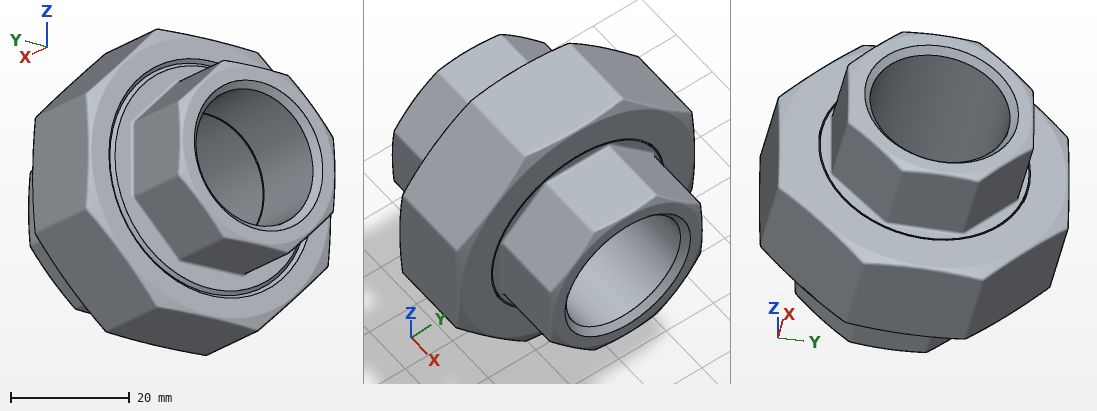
import cadquery as cq
import math

fitting_length = 45.0
nut_width = 17.0
fitting_end = fitting_length / 2
nut_face = nut_width / 2
flange_inner_x = 0.0

octagon_sides = 8
half_side_angle = 180.0 / octagon_sides
nut_across_flats = 50.0
end_across_flats = 32.0
corner_radius = 1.0
bevel_angle = 20.0
bevel_start_inset = 0.42
bevel_edge_radius = 0.5
root_radius = 0.5
root_tolerance = 0.01

bore_diameter = 24.12
bore_mouth_diameter = 26.5
bore_mouth_depth = 1.2

nut_mouth_diameter = 42.0
flange_face_diameter = 39.5
thread_diameter = (nut_mouth_diameter + flange_face_diameter) / 2
thread_chamfer = (nut_mouth_diameter - thread_diameter) / 2

neck_diameter = 36.0
nut_lip_diameter = 36.5
collar_diameter = 39.84
lip_thickness = 4.0
lip_inner_x = nut_face - lip_thickness

nose_diameter = 28.0
nose_tip_x = -7.0
nose_bore_chamfer = 0.3


def cylinder(diameter, x_start, x_end):
    """Round bar along X."""
    return cq.Workplane("YZ", origin=(x_start, 0, 0)).circle(diameter / 2).extrude(x_end - x_start)


def octagon_bar(across_flats, x_start, x_end):
    """Octagonal bar along X, with flats facing Y and Z and rounded long edges."""
    across_corners = across_flats / math.cos(math.radians(half_side_angle))
    bar = (
        cq.Workplane("YZ", origin=(x_start, 0, 0))
        .transformed(rotate=(0, 0, half_side_angle))
        .polygon(octagon_sides, across_corners)
        .extrude(x_end - x_start)
    )
    return bar.edges("|X").fillet(corner_radius)


def bevel_envelope(across_flats, x_end, direction):
    """Bar whose conical end at x_end, facing along direction, trims the octagon corners."""
    start_radius = across_flats / 2 - bevel_start_inset
    outer_radius = across_flats
    cone_depth = (outer_radius - start_radius) * math.tan(math.radians(bevel_angle))
    x_cone_base = x_end - direction * cone_depth
    x_far = x_cone_base - direction * fitting_length
    return (
        cq.Workplane("XY")
        .moveTo(x_far, 0)
        .lineTo(x_end, 0)
        .lineTo(x_end, start_radius)
        .lineTo(x_cone_base, outer_radius)
        .lineTo(x_far, outer_radius)
        .close()
        .revolve(360, (0, 0, 0), (1, 0, 0))
    )


def bevel_end(bar, across_flats, direction):
    """Cut the conical bevel on one end of an octagonal bar and round its edges."""
    end_selector = ">X" if direction > 0 else "<X"
    x_end = bar.faces(end_selector).val().Center().x
    beveled = bar.intersect(bevel_envelope(across_flats, x_end, direction))
    cone_edges = beveled.faces("%CONE").faces(end_selector).edges()
    return cone_edges.fillet(bevel_edge_radius)


def end_octagon(direction):
    """Beveled octagonal wrench section of one end piece, from the nut face outwards."""
    bar = octagon_bar(end_across_flats, direction * nut_face, direction * fitting_end)
    return bevel_end(bar, end_across_flats, direction)


def bore_cut(direction):
    """Bore from the far side of the nut to a conical mouth at the outer end of a piece."""
    inner_x = -direction * nut_face
    mouth_x = direction * fitting_end
    straight_end_x = mouth_x - direction * bore_mouth_depth
    return (
        cq.Workplane("XY")
        .moveTo(inner_x, 0)
        .lineTo(mouth_x, 0)
        .lineTo(mouth_x, bore_mouth_diameter / 2)
        .lineTo(straight_end_x, bore_diameter / 2)
        .lineTo(inner_x, bore_diameter / 2)
        .close()
        .revolve(360, (0, 0, 0), (1, 0, 0))
    )


def fillet_root(piece, direction):
    """Fillet the corner between the octagon and the flange face it stands on."""
    face_x = direction * nut_face
    half_width = neck_diameter / 2 - root_tolerance
    root_box = cq.selectors.BoxSelector(
        (face_x - root_tolerance, -half_width, -half_width),
        (face_x + root_tolerance, half_width, half_width),
        boundingbox=True,
    )
    return piece.edges(root_box).fillet(root_radius)


def make_threaded_piece():
    """-X end piece with the flange that screws into the nut."""
    flange = cylinder(thread_diameter, -nut_face, flange_inner_x).faces("<X").chamfer(thread_chamfer)
    piece = fillet_root(flange.union(end_octagon(-1)), -1)
    recess = cylinder(nose_diameter, nose_tip_x, flange_inner_x)
    return piece.cut(bore_cut(-1)).cut(recess)


def make_collar_piece():
    """+X end piece with the neck in the nut lip, the collar behind it and the nose."""
    nose = cylinder(nose_diameter, nose_tip_x, flange_inner_x)
    collar = cylinder(collar_diameter, flange_inner_x, lip_inner_x)
    neck = cylinder(neck_diameter, lip_inner_x, nut_face)
    piece = fillet_root(neck.union(end_octagon(1)), 1)
    piece = piece.union(collar).union(nose).cut(bore_cut(1))
    bore_rim = piece.faces("<X").edges(cq.selectors.RadiusNthSelector(0))
    return bore_rim.chamfer(nose_bore_chamfer)


def make_nut():
    """Octagonal union nut with a chamfered thread mouth and an inner lip."""
    nut = octagon_bar(nut_across_flats, -nut_face, nut_face)
    for direction in (-1, 1):
        nut = bevel_end(nut, nut_across_flats, direction)
    nut = nut.cut(cylinder(thread_diameter, -nut_face, lip_inner_x))
    nut = nut.cut(cylinder(nut_lip_diameter, lip_inner_x, nut_face))
    return nut.faces("<X").edges(cq.selectors.RadiusNthSelector(0)).chamfer(thread_chamfer)


nut = make_nut()
threaded_piece = make_threaded_piece()
collar_piece = make_collar_piece()
result = cq.Compound.makeCompound([nut.val(), threaded_piece.val(), collar_piece.val()])